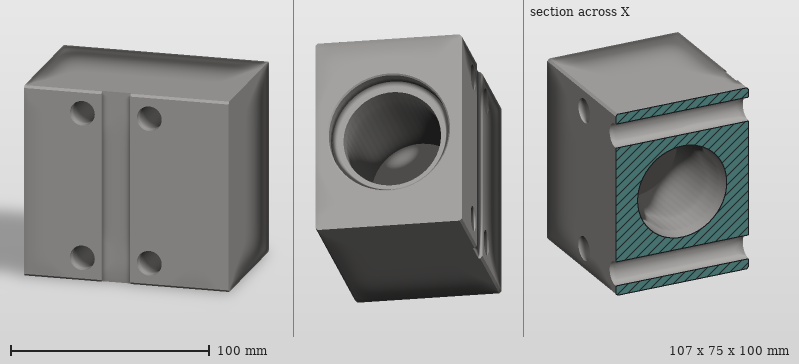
import cadquery as cq

LENGTH = 107.0
DEPTH = 75.0
HEIGHT = 100.0
EDGE_CHAMFER = 1.2

GROOVE_X = -5.5
GROOVE_WIDTH = 15.0
GROOVE_DEPTH = 2.0

BOLT_DIAMETER = 13.0
BOLT_SPACING_X = 35.0
BOLT_SPACING_Z = 76.0

BORE_DIAMETER = 50.0
FLOOR_THICKNESS = 21.4
SEAT_DIAMETER = 61.5
SEAT_DEPTH = 9.7
MOUTH_CHAMFER = 0.7

LEFT = -LENGTH / 2
FRONT = -DEPTH / 2


def make_block():
    """Rectangular block with its four lengthwise edges chamfered."""
    return cq.Workplane("XY").box(LENGTH, DEPTH, HEIGHT).edges("|X").chamfer(EDGE_CHAMFER)


def make_groove():
    """Full-height cutter for the key groove in the front face."""
    return cq.Workplane("XY").box(GROOVE_WIDTH, 2 * GROOVE_DEPTH, HEIGHT).translate((GROOVE_X, FRONT, 0))


def make_bolt_holes():
    """Four through-hole cutters, arranged in a rectangle about the groove."""
    return (
        cq.Workplane("XZ", origin=(GROOVE_X, 0, 0))
        .rarray(BOLT_SPACING_X, BOLT_SPACING_Z, 2, 2)
        .circle(BOLT_DIAMETER / 2)
        .extrude(DEPTH, both=True)
    )


def make_bore():
    """Revolved cutter: chamfered mouth, wide seat, then the blind bore."""
    seat_radius = SEAT_DIAMETER / 2
    bore_radius = BORE_DIAMETER / 2
    seat_end = LEFT + SEAT_DEPTH
    bore_end = LENGTH / 2 - FLOOR_THICKNESS
    half_profile = [
        (LEFT, 0),
        (LEFT, seat_radius + MOUTH_CHAMFER),
        (LEFT + MOUTH_CHAMFER, seat_radius),
        (seat_end, seat_radius),
        (seat_end, bore_radius),
        (bore_end, bore_radius),
        (bore_end, 0),
    ]
    return cq.Workplane("XY").polyline(half_profile).close().revolve(360, (0, 0, 0), (1, 0, 0))


result = make_block().cut(make_groove()).cut(make_bolt_holes()).cut(make_bore())